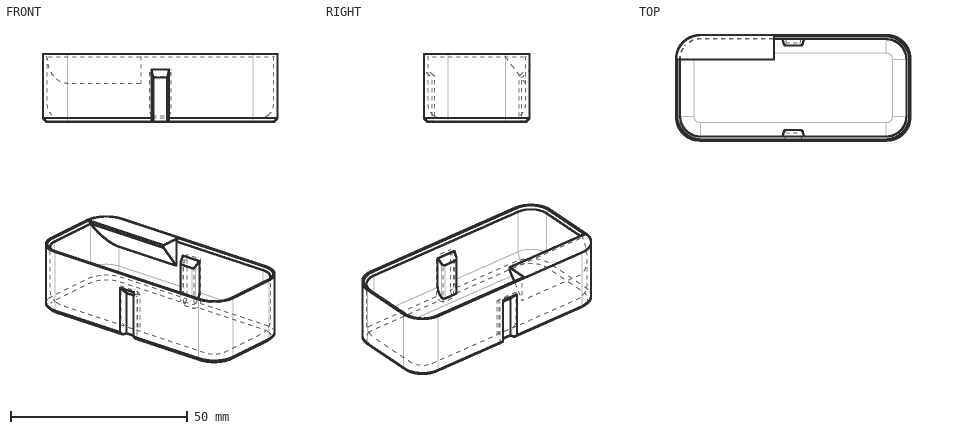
import cadquery as cq
import math

length = 66.5
width = 30.0
height = 19.2
corner_radius = 6.9
base_chamfer = 1.0

wall = 1.2
floor_thickness = 1.0
floor_fillet = 3.9
rim_width = 0.4
rim_chamfer = wall - rim_width

ledge_end_x = -5.4
ledge_depth = corner_radius
ledge_edge_thickness = 0.8
ledge_root_height = 8.3

slot_mouth_width = 5.05
slot_back_width = 3.85
slot_depth = 2.25
slot_height = 14.75
rib_skin = 0.8


def rounded_block(inset, bottom, top):
    """Block with rounded vertical corners, inset from the outer walls."""
    return (
        cq.Workplane("XY", origin=(0, 0, bottom))
        .rect(length - 2 * inset, width - 2 * inset)
        .extrude(top - bottom)
        .edges("|Z")
        .fillet(corner_radius - inset)
    )


def ledge():
    """Corner shelf with a sloping underside, running along the +Y wall."""
    back = width / 2
    front = back - ledge_depth
    inner_wall = back - wall
    profile = [
        (front, height),
        (back, height),
        (back, height - ledge_root_height),
        (inner_wall, height - ledge_root_height),
        (front, height - ledge_edge_thickness),
    ]
    start_x = -length / 2
    return (
        cq.Workplane("YZ", origin=(start_x, 0, 0))
        .polyline(profile)
        .close()
        .extrude(ledge_end_x - start_x)
        .intersect(rounded_block(0, 0, height))
    )


def slot_post(skin):
    """Tapered slot shape on the -Y wall, grown by skin, with a 45 degree roof falling inward."""
    mouth = -width / 2
    back = mouth + slot_depth
    plan = (
        cq.Workplane("XY")
        .moveTo(-slot_mouth_width / 2, mouth)
        .lineTo(slot_mouth_width / 2, mouth)
        .lineTo(slot_back_width / 2, back)
        .lineTo(-slot_back_width / 2, back)
        .close()
    )
    if skin > 0:
        plan = plan.offset2D(skin, "arc")
    mouth_height = slot_height + skin * math.sqrt(2)
    below_roof = (
        cq.Workplane("YZ", origin=(-slot_mouth_width, 0, 0))
        .moveTo(mouth - height, 0)
        .lineTo(mouth - height, mouth_height + height)
        .lineTo(mouth + mouth_height, 0)
        .close()
        .extrude(2 * slot_mouth_width)
    )
    return plan.extrude(height).intersect(below_roof)


def on_both_walls(post):
    """Post together with its mirror image on the +Y wall."""
    return post.union(post.mirror("XZ"))


outer_body = rounded_block(0, 0, height).faces("<Z").chamfer(base_chamfer)
cavity = rounded_block(wall, floor_thickness, height).faces("<Z").edges().fillet(floor_fillet)
rim_bevel = (
    rounded_block(rim_width, height - rim_chamfer, height)
    .faces(">Z")
    .wires()
    .toPending()
    .workplane()
    .extrude(-rim_chamfer, combine=False, taper=45)
)
tray = outer_body.cut(cavity).cut(rim_bevel)

ribs = on_both_walls(slot_post(rib_skin)).intersect(outer_body)
slots = on_both_walls(slot_post(0))

result = tray.union(ledge()).union(ribs).cut(slots)